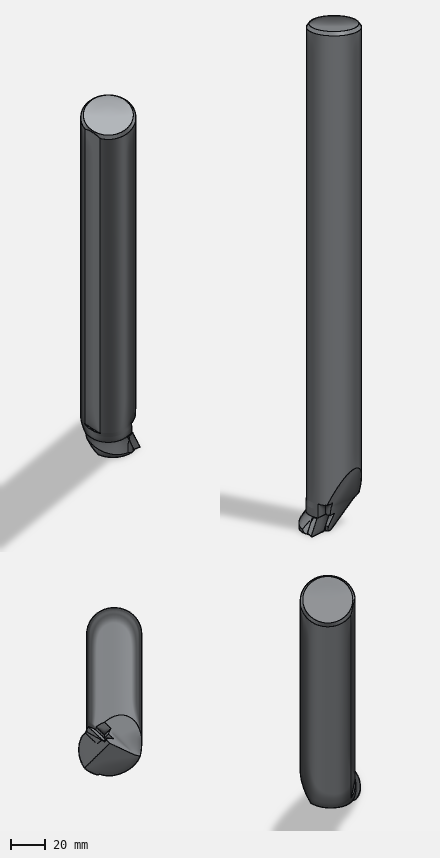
import cadquery as cq
import math

total_length = 306.0
shank_radius = 16.0
end_chamfer_width = 1.5
end_chamfer_height = 2.0
flat_depth = 1.0
flat_bottom = 17.5

head_bottom = 0.5
flare_top = 18.5
collar_top = 15.0
collar_bottom = 10.0
collar_radius = 16.2
skirt_radius = 22.3
clearance_radius = 18.0
clearance_offset = 3.5
flank_foot_x = 20.8

back_face_upper = (-shank_radius, 20.2)
back_face_lower = (6.5, head_bottom)

pocket_rim = (shank_radius, 39.2)
pocket_knee = (5.5, 16.0)
pocket_foot_y = 2.8
relief_start_x = 9.2

insert_tip_x = 22.0
insert_edge = 11.5
insert_angle = math.radians(61)
insert_tilt = math.radians(3)
insert_nose_radius = 0.5
insert_top_y = 1.2
insert_thickness = 4.0
insert_relief_angle = 11

beyond = 61.2


def revolved_blank():
    """Shank and flared head, as one turned profile."""
    return (
        cq.Workplane("XZ")
        .moveTo(0, head_bottom)
        .lineTo(skirt_radius, head_bottom)
        .lineTo(collar_radius, collar_bottom)
        .lineTo(collar_radius, collar_top)
        .lineTo(shank_radius, flare_top)
        .lineTo(shank_radius, total_length - end_chamfer_height)
        .lineTo(shank_radius - end_chamfer_width, total_length)
        .lineTo(0, total_length)
        .close()
        .revolve(360, (0, 0, 0), (0, 1, 0))
    )


def head_trim():
    """Material outside the offset clearance cylinder, below the collar."""
    return (
        cq.Workplane("XY")
        .circle(beyond)
        .moveTo(clearance_offset, 0)
        .circle(clearance_radius)
        .extrude(collar_bottom)
    )


def flank_cut():
    """Wedge on the +X side that leaves a flat flank from the collar down to the head bottom."""
    return (
        cq.Workplane("XZ")
        .polyline([
            (flank_foot_x, head_bottom),
            (collar_radius, collar_bottom),
            (beyond, collar_bottom),
            (beyond, head_bottom),
        ])
        .close()
        .extrude(beyond, both=True)
    )


def shank_flat():
    """Strip removed from the -Y side of the shank."""
    return (
        cq.Workplane("XY")
        .box(2 * shank_radius, flat_depth, total_length, centered=(True, False, False))
        .translate((0, -shank_radius, flat_bottom))
    )


def back_face_cut():
    """Wedge below the oblique face on the -X side of the head."""
    run = back_face_lower[0] - back_face_upper[0]
    rise = back_face_lower[1] - back_face_upper[1]
    start = (back_face_upper[0] - run, back_face_upper[1] - rise)
    end = (back_face_lower[0] + run, back_face_lower[1] + rise)
    return (
        cq.Workplane("XZ")
        .polyline([start, end, (start[0], end[1])])
        .close()
        .extrude(beyond, both=True)
    )


def chip_pocket():
    """Opening on the +Y side that leads down to the cutting edge."""
    return (
        cq.Workplane("YZ")
        .polyline([(pocket_foot_y, 0), pocket_knee, pocket_rim, (beyond, pocket_rim[1]), (beyond, 0)])
        .close()
        .extrude(beyond, both=True)
    )


def insert_relief():
    """Step that brings the head level with the insert around the cutting corner."""
    return (
        cq.Workplane("XY")
        .box(beyond, beyond, flare_top, centered=False)
        .translate((relief_start_x, insert_top_y, 0))
    )


def insert_outline():
    """Sharp rhombus of the insert's top face, in XZ, starting at the cutting corner."""
    half_corner = (insert_angle - insert_tilt) / 2
    bisector = math.pi - (insert_angle + insert_tilt) / 2
    reach = insert_nose_radius / math.sin(half_corner)
    corner_x = insert_tip_x - insert_nose_radius - reach * math.cos(bisector)
    corner_z = insert_nose_radius - reach * math.sin(bisector)
    flank_x = -insert_edge * math.cos(insert_angle)
    flank_z = insert_edge * math.sin(insert_angle)
    lower_x = -insert_edge * math.cos(insert_tilt)
    lower_z = insert_edge * math.sin(insert_tilt)
    return [
        (corner_x, corner_z),
        (corner_x + flank_x, corner_z + flank_z),
        (corner_x + flank_x + lower_x, corner_z + flank_z + lower_z),
        (corner_x + lower_x, corner_z + lower_z),
    ]


def insert_body():
    """Insert with its rake face at insert_top_y, narrowing toward the seat floor."""
    return (
        cq.Workplane("XZ", origin=(0, insert_top_y, 0))
        .polyline(insert_outline())
        .close()
        .extrude(insert_thickness, taper=insert_relief_angle)
        .edges(">X")
        .fillet(insert_nose_radius)
    )


def seat_opening():
    """Opening above the insert, through which it drops into its seat."""
    return (
        cq.Workplane("XZ", origin=(0, insert_top_y, 0))
        .polyline(insert_outline())
        .close()
        .extrude(-beyond)
    )


cutting_insert = insert_body()

holder = (
    revolved_blank()
    .cut(head_trim())
    .cut(flank_cut())
    .cut(shank_flat())
    .cut(back_face_cut())
    .cut(chip_pocket())
    .cut(insert_relief())
    .cut(seat_opening())
    .cut(cutting_insert)
)

result = cq.Compound.makeCompound([holder.val(), cutting_insert.val()])